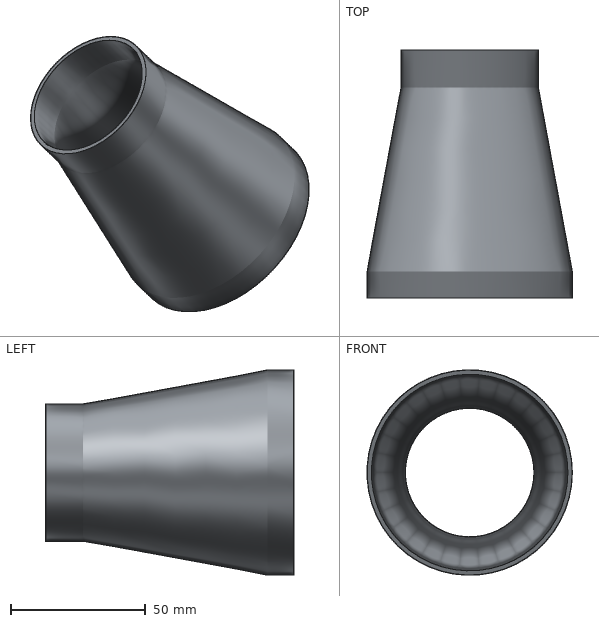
import cadquery as cq

length = 92.1
large_diameter = 76.2
small_diameter = 51.0
wall = 1.7
large_collar_length = 9.8
small_collar_length = 14.0

large_radius = large_diameter / 2
small_radius = small_diameter / 2
front_y = -length / 2
back_y = length / 2
cone_start_y = front_y + large_collar_length
cone_end_y = back_y - small_collar_length

wall_section = (
    cq.Workplane("XY")
    .moveTo(large_radius, front_y)
    .lineTo(large_radius, cone_start_y)
    .lineTo(small_radius, cone_end_y)
    .lineTo(small_radius, back_y)
    .lineTo(small_radius - wall, back_y)
    .lineTo(small_radius - wall, cone_end_y)
    .lineTo(large_radius - wall, cone_start_y)
    .lineTo(large_radius - wall, front_y)
    .close()
)

result = wall_section.revolve(360, (0, 0, 0), (0, 1, 0))